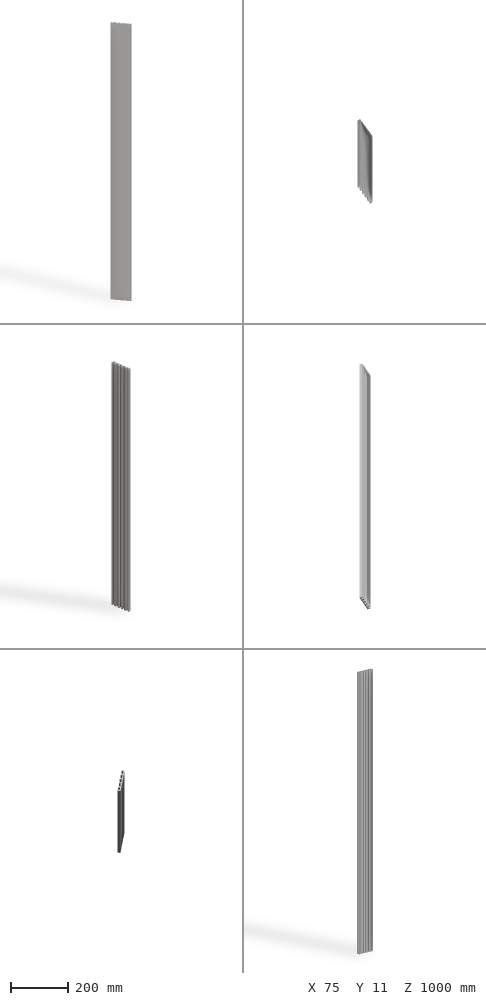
import cadquery as cq

WIDTH = 75.0
THICKNESS = 11.0
LENGTH = 1000.0

CHANNEL_COUNT = 5
CHANNEL_PITCH = WIDTH / CHANNEL_COUNT

SLOT_DEPTH = 7.0
SLOT_INNER_WIDTH = 10.0
NECK_WIDTH = 6.0
LIP_THICKNESS = 3.0
MOUTH_CHAMFER = 1.0

GROOVE_WIDTH = 1.0
GROOVE_DEPTH = 1.0

FRONT_Y = -THICKNESS / 2
BACK_Y = THICKNESS / 2


def full_length_bar(points):
    """Extrude a closed XY outline over the whole length of the strip."""
    return cq.Workplane("XY").polyline(points).close().extrude(LENGTH / 2, both=True)


def t_slot_bar(center_x):
    """Cutter for one T-slot with a chamfered mouth."""
    mouth_width = NECK_WIDTH + 2 * MOUTH_CHAMFER
    steps = [
        (mouth_width, 0),
        (NECK_WIDTH, MOUTH_CHAMFER),
        (NECK_WIDTH, LIP_THICKNESS),
        (SLOT_INNER_WIDTH, LIP_THICKNESS),
        (SLOT_INNER_WIDTH, SLOT_DEPTH),
    ]
    left_side = [(center_x - width / 2, BACK_Y - depth) for width, depth in steps]
    right_side = [(center_x + width / 2, BACK_Y - depth) for width, depth in steps]
    return full_length_bar(left_side + right_side[::-1])


def v_groove_bar(center_x):
    """Cutter for one V-groove."""
    return full_length_bar([
        (center_x - GROOVE_WIDTH / 2, FRONT_Y),
        (center_x + GROOVE_WIDTH / 2, FRONT_Y),
        (center_x, FRONT_Y + GROOVE_DEPTH),
    ])


result = cq.Workplane("XY").box(WIDTH, THICKNESS, LENGTH)

for index in range(CHANNEL_COUNT):
    channel_x = (index - (CHANNEL_COUNT - 1) / 2) * CHANNEL_PITCH
    result = result.cut(t_slot_bar(channel_x)).cut(v_groove_bar(channel_x))